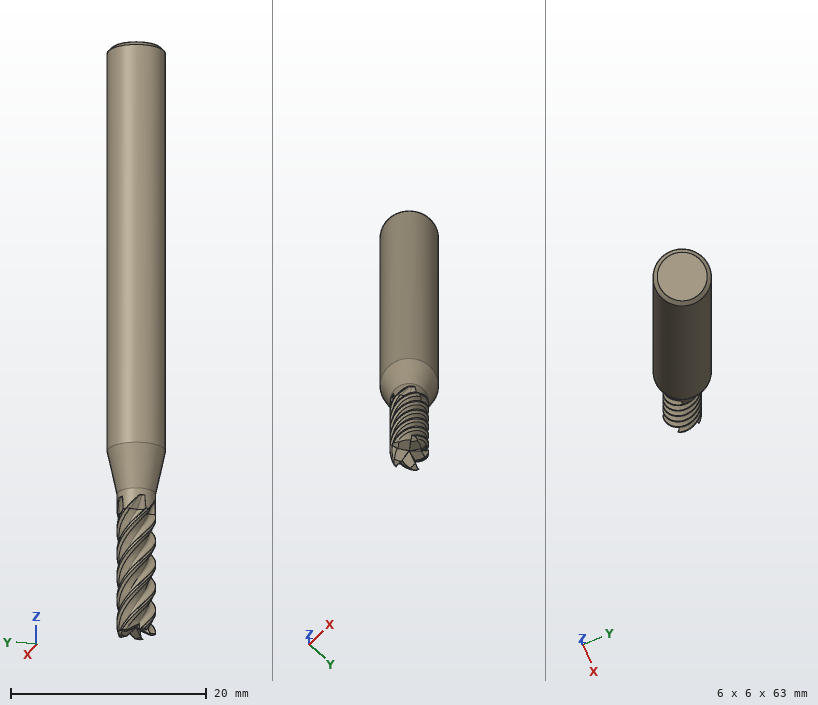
import cadquery as cq
import math

total_length = 63
shank_diameter = 6.0
cutter_diameter = 4.0
shank_chamfer = 0.45

cutter_length = 13.0
neck_top = 15.05
taper_top = 19.65

flute_count = 5
helix_angle = 45
first_edge_angle = 35

land_angle = 10
relief_radius = 1.75
relief_angle = 21
heel_radius = 1.25
heel_angle = 46

runout_length = 1.4
runout_depth = 0.1
runout_start_angle = 52
runout_end_angle = 68
runout_lead_in = 2

gash_width = 1.2
gash_depth = 0.7

shank_radius = shank_diameter / 2
cutter_radius = cutter_diameter / 2
clearance_radius = 1.3 * cutter_radius
tooth_pitch = 360 / flute_count
helix_lead = math.pi * cutter_diameter / math.tan(math.radians(helix_angle))


def polar(radius, angle):
    """Point at a radius and an angle in degrees."""
    return (radius * math.cos(math.radians(angle)), radius * math.sin(math.radians(angle)))


def helix_turn(height):
    """Angle in degrees that the helix turns over a height."""
    return 360 * height / helix_lead


def fluted_section():
    """Cutter section with a land, a relief, a heel and a round gullet per tooth."""
    section = cq.Workplane("XY").moveTo(*polar(cutter_radius, first_edge_angle))
    for tooth in range(flute_count):
        edge = first_edge_angle + tooth * tooth_pitch
        section = (
            section
            .threePointArc(
                polar(cutter_radius, edge + land_angle / 2),
                polar(cutter_radius, edge + land_angle),
            )
            .lineTo(*polar(relief_radius, edge + relief_angle))
            .lineTo(*polar(heel_radius, edge + heel_angle))
            .tangentArcPoint(polar(cutter_radius, edge + tooth_pitch), relative=False)
        )
    return section.close()


def end_gash(edge):
    """V-groove that runs outward from the axis across the tip, ahead of one cutting edge."""
    return (
        cq.Workplane("YZ")
        .polyline([(-gash_width, 0), (0, 0), (0, gash_depth)])
        .close()
        .extrude(shank_radius)
        .rotate((0, 0, 0), (0, 0, 1), edge)
    )


def flute_runout(edge):
    """Space of one flute in the neck, from its full section to a small shallow one."""
    runout_radius = cutter_radius - runout_depth
    runout_middle = (runout_start_angle + runout_end_angle) / 2
    return (
        cq.Workplane("XY")
        .workplane(offset=cutter_length)
        .moveTo(*polar(clearance_radius, edge + land_angle))
        .lineTo(*polar(cutter_radius, edge + land_angle))
        .lineTo(*polar(relief_radius, edge + relief_angle))
        .lineTo(*polar(heel_radius, edge + heel_angle))
        .tangentArcPoint(polar(cutter_radius, edge + tooth_pitch), relative=False)
        .lineTo(*polar(clearance_radius, edge + tooth_pitch))
        .close()
        .workplane(offset=runout_length)
        .moveTo(*polar(clearance_radius, edge + runout_start_angle))
        .lineTo(*polar(cutter_radius, edge + runout_start_angle))
        .lineTo(*polar(runout_radius, edge + runout_start_angle + runout_lead_in))
        .lineTo(*polar(runout_radius, edge + runout_middle))
        .lineTo(*polar(cutter_radius, edge + runout_end_angle))
        .lineTo(*polar(clearance_radius, edge + runout_end_angle))
        .close()
        .loft(ruled=True)
    )


def build_cutter():
    cutter = fluted_section().twistExtrude(cutter_length, helix_turn(cutter_length))
    for tooth in range(flute_count):
        cutter = cutter.cut(end_gash(first_edge_angle + tooth * tooth_pitch))
    return cutter


def build_shank():
    shank = (
        cq.Workplane("YZ")
        .moveTo(0, cutter_length)
        .lineTo(-cutter_radius, cutter_length)
        .lineTo(-cutter_radius, neck_top)
        .lineTo(-shank_radius, taper_top)
        .lineTo(-shank_radius, total_length - shank_chamfer)
        .lineTo(-shank_radius + shank_chamfer, total_length)
        .lineTo(0, total_length)
        .close()
        .revolve(360, (0, 0), (0, 1))
    )
    first_runout_angle = first_edge_angle + helix_turn(cutter_length)
    for tooth in range(flute_count):
        shank = shank.cut(flute_runout(first_runout_angle + tooth * tooth_pitch))
    return shank


cutter = build_cutter()
shank = build_shank()
result = cq.Compound.makeCompound([cutter.val(), shank.val()])